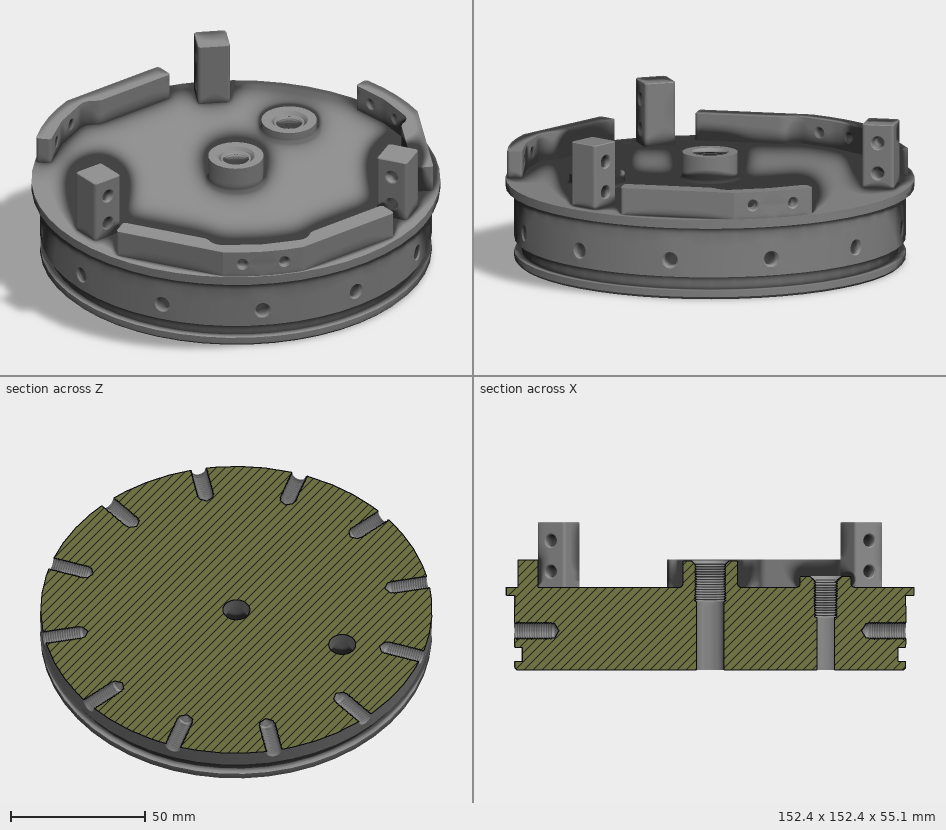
import cadquery as cq
import math

total_height = 55.13
flange_diameter = 152.4
body_diameter = 145.97
groove_diameter = 140.41
flange_top = 31.0
flange_thickness = 3.3
flange_bottom = flange_top - flange_thickness
groove_bottom = 3.45
groove_top = 8.5
bottom_chamfer = 1.0

boss_diameter = 20.62
boss_foot_fillet = 1.27
bosses = [(0.0, 0.0, 9.9), (3.9, 43.0, 4.0)]
port_minor_diameter = 9.9
port_major_diameter = 11.53
port_mouth_diameter = 14.0
port_thread_pitch = 0.94
port_thread_length = 15.0

side_hole_count = 12
side_hole_z = 14.75
side_hole_minor_diameter = 5.1
side_hole_major_diameter = 6.2
side_hole_depth = 15.0
side_thread_pitch = 0.9
drill_point_angle = 118.0

post_angles = [0, 120, 240]
post_size = 12.06
post_radius = 65.05
post_height = total_height - flange_top
post_corner_fillet = 1.2
post_top_chamfer = 0.25
post_hole_diameter = 4.57
post_hole_mouth_diameter = 5.41
post_hole_heights = [5.7, 17.2]

wall_height = 10.16
wall_outer_radius = 75.6
wing_angle = 30.0
wing_outer_distance = 71.68
wing_inner_distance = 64.15
wing_end = 19.1
wing_step_start = 14.6
wing_step_slope = 40.0
wing_end_fillet = 1.2
wing_step_edge_fillet = 4.8
wing_step_root_fillet = 5.7
flat_angle = 6.0
flat_distance = 69.55
flat_blend_radius = 14.0
cut_end_angle = 12.4
wall_hole_z = 5.1
wall_hole_diameter = 3.45
wall_hole_mouth_diameter = 4.57
full_wall_angle = -60
short_wall_angles = [60, 180]


def place(feature, angle):
    """Turn a feature about the main axis."""
    return feature.rotate((0, 0, 0), (0, 0, 1), angle)


def revolve_profile(points):
    """Revolve (radius, height) points about Z."""
    return cq.Workplane("XZ").polyline(points).close().revolve(360, (0, 0, 0), (0, 1, 0))


def through_hole(minor_diameter, mouth_diameter, half_depth):
    """Hole cutter centred on the origin along Z with a 45 degree mouth at both ends."""
    minor = minor_diameter / 2
    mouth = mouth_diameter / 2
    neck = half_depth - (mouth - minor)
    return revolve_profile([(0, -half_depth), (mouth, -half_depth), (minor, -neck),
                            (minor, neck), (mouth, half_depth), (0, half_depth)])


def thread_rings(minor_diameter, major_diameter, pitch, start, length):
    """Cutter of stacked V-shaped ring grooves standing for a thread, going down from z = -start."""
    minor = minor_diameter / 2
    major = major_diameter / 2
    points = [(0, -start), (minor, -start)]
    for turn in range(int(length / pitch)):
        top = -start - turn * pitch
        points.append((major, top - pitch / 2))
        points.append((minor, top - pitch))
    points.append((0, points[-1][1]))
    return revolve_profile(points)


def make_body():
    flange = flange_diameter / 2
    body = body_diameter / 2
    groove = groove_diameter / 2
    return revolve_profile([
        (0, 0),
        (body - bottom_chamfer, 0),
        (body, bottom_chamfer),
        (body, groove_bottom),
        (groove, groove_bottom),
        (groove, groove_top),
        (body, groove_top),
        (body, flange_bottom),
        (flange, flange_bottom),
        (flange, flange_top),
        (0, flange_top),
    ])


def make_boss(height):
    radius = boss_diameter / 2
    foot = radius + boss_foot_fillet
    arc_reach = boss_foot_fillet * (1 - math.sqrt(0.5))
    return (
        cq.Workplane("XZ")
        .moveTo(0, 0)
        .lineTo(foot, 0)
        .threePointArc((radius + arc_reach, arc_reach), (radius, boss_foot_fillet))
        .lineTo(radius, height)
        .lineTo(0, height)
        .close()
        .revolve(360, (0, 0, 0), (0, 1, 0))
    )


def make_port(height):
    mouth = port_mouth_diameter / 2
    major = port_major_diameter / 2
    minor = port_minor_diameter / 2
    mouth_depth = mouth - major
    bottom = -flange_top - height
    hole = revolve_profile([(0, 0), (mouth, 0), (major, -mouth_depth), (minor, -mouth_depth),
                            (minor, bottom), (0, bottom)])
    thread = thread_rings(
        port_minor_diameter, port_major_diameter, port_thread_pitch, mouth_depth, port_thread_length
    )
    return hole.union(thread)


def make_side_hole():
    """Radial cutter along +X."""
    minor = side_hole_minor_diameter / 2
    mouth = side_hole_major_diameter / 2
    mouth_depth = mouth - minor
    point_length = minor / math.tan(math.radians(drill_point_angle / 2))
    hole = revolve_profile([(0, 0), (mouth, 0), (minor, -mouth_depth), (minor, -side_hole_depth),
                            (0, -side_hole_depth - point_length)])
    thread = thread_rings(side_hole_minor_diameter, side_hole_major_diameter, side_thread_pitch,
                          mouth_depth, side_hole_depth - 2 * mouth_depth)
    cutter = hole.union(thread)
    return cutter.rotate((0, 0, 0), (0, 1, 0), 90).translate((body_diameter / 2, 0, side_hole_z))


def make_post():
    """Post on +X, crossed by two tangential holes."""
    post = (
        cq.Workplane("XY")
        .box(post_size, post_size, post_height, centered=(True, True, False))
        .edges("|Z")
        .fillet(post_corner_fillet)
        .faces(">Z")
        .edges()
        .chamfer(post_top_chamfer)
    )
    hole = through_hole(post_hole_diameter, post_hole_mouth_diameter, post_size / 2)
    hole = hole.rotate((0, 0, 0), (1, 0, 0), 90)
    for height in post_hole_heights:
        post = post.cut(hole.translate((0, 0, height)))
    return post.translate((post_radius, 0, flange_top))


def wing_point(along, distance):
    """Point of the wing on the +Y side: distance from the axis, offset along the wing from its foot."""
    turn = math.radians(wing_angle)
    x = distance * math.cos(turn) - along * math.sin(turn)
    y = distance * math.sin(turn) + along * math.cos(turn)
    return (x, y)


def mirrored(point):
    return (point[0], -point[1])


def fillet_corner(wall, point, radius):
    """Round the upright wall edge at an outline point."""
    edge = cq.selectors.NearestToPointSelector((*point, wall_height / 2))
    return wall.edges("|Z").edges(edge).fillet(radius)


def make_wall_blank():
    """Full wall centred on +X with both wings."""
    outer_along = -math.sqrt(wall_outer_radius**2 - wing_outer_distance**2)
    outer_join = wing_point(outer_along, wing_outer_distance)
    outer_tip = wing_point(wing_end, wing_outer_distance)
    inner_tip = wing_point(wing_end, wing_inner_distance)
    step_edge = wing_point(-wing_step_start, wing_inner_distance)
    lean = math.radians(wing_angle - flat_angle)
    step_rise = math.tan(math.radians(wing_step_slope))
    flat_below_edge = (flat_distance - wing_step_start * math.sin(lean)) / math.cos(lean)
    step_run = (flat_below_edge - wing_inner_distance) / (step_rise + math.tan(lean))
    step_root = wing_point(-wing_step_start - step_run, wing_inner_distance + step_run * step_rise)
    flat_meeting = (flat_distance / math.cos(math.radians(flat_angle)), 0)
    wall = (
        cq.Workplane("XY")
        .moveTo(*mirrored(outer_join))
        .threePointArc((wall_outer_radius, 0), outer_join)
        .lineTo(*outer_tip)
        .lineTo(*inner_tip)
        .lineTo(*step_edge)
        .lineTo(*step_root)
        .lineTo(*flat_meeting)
        .lineTo(*mirrored(step_root))
        .lineTo(*mirrored(step_edge))
        .lineTo(*mirrored(inner_tip))
        .lineTo(*mirrored(outer_tip))
        .close()
        .extrude(wall_height)
    )

    wall = fillet_corner(wall, flat_meeting, flat_blend_radius)
    for point, radius in (
        (outer_tip, wing_end_fillet),
        (inner_tip, wing_end_fillet),
        (step_root, wing_step_root_fillet),
        (step_edge, wing_step_edge_fillet),
    ):
        wall = fillet_corner(wall, point, radius)
        wall = fillet_corner(wall, mirrored(point), radius)
    return wall


def drill_wall(wall):
    """Cut the two screw holes square through the flats."""
    half_depth = (wall_outer_radius - flat_distance) / 2
    hole = through_hole(wall_hole_diameter, wall_hole_mouth_diameter, half_depth)
    hole = hole.rotate((0, 0, 0), (0, 1, 0), 90).translate((flat_distance + half_depth, 0, wall_hole_z))
    for angle in (flat_angle, -flat_angle):
        wall = wall.cut(place(hole, angle))
    return wall


def make_short_wall(blank):
    """Wall with only its -Y wing, ending in a radial face on the other side."""
    removed_side = cq.Workplane("XY").rect(flange_diameter, flange_diameter).extrude(wall_height)
    removed_side = removed_side.translate((0, flange_diameter / 2, 0))
    wall = blank.cut(place(removed_side, cut_end_angle))
    end = math.radians(cut_end_angle)
    for radius in (wall_outer_radius, flat_distance):
        corner = (radius * math.cos(end), radius * math.sin(end))
        wall = fillet_corner(wall, corner, wing_end_fillet)
    return wall


result = make_body()

for x, y, height in bosses:
    result = result.union(make_boss(height).translate((x, y, flange_top)))
for x, y, height in bosses:
    result = result.cut(make_port(height).translate((x, y, flange_top + height)))

side_hole = make_side_hole()
for index in range(side_hole_count):
    result = result.cut(place(side_hole, index * 360 / side_hole_count))

post = make_post()
for angle in post_angles:
    result = result.union(place(post, angle))

wall_blank = make_wall_blank()
full_wall = drill_wall(wall_blank).translate((0, 0, flange_top))
short_wall = drill_wall(make_short_wall(wall_blank)).translate((0, 0, flange_top))
result = result.union(place(full_wall, full_wall_angle))
for angle in short_wall_angles:
    result = result.union(place(short_wall, angle))